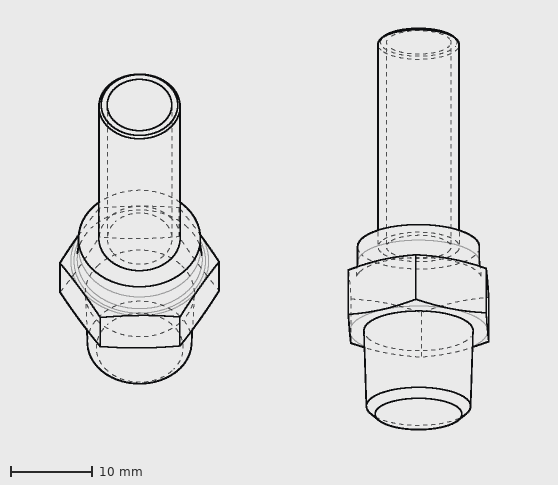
import cadquery as cq
import math

total_height = 49.1

thread_tip_radius = 5.35
thread_small_radius = 6.45
thread_large_radius = 6.75
thread_chamfer_height = 1.05

hex_bottom = 11.0
hex_top = 17.6
across_flats = 17.0
across_corners = across_flats / math.cos(math.radians(30))
hex_chamfer_angle = 15.0

collar_top = 22.1
collar_radius = 7.5
collar_taper_top = 20.1
collar_base_radius = 7.7
collar_fillet = 0.4

tube_radius = 5.0
tube_edge_chamfer = 0.3
bore_radius = 4.0
bore_bottom = collar_top


def revolve_profile(profile):
    """Turn a closed radius-height outline about the Z axis."""
    return profile.close().revolve(360, (0, 0, 0), (0, 1, 0))


def make_hexagon():
    """Hexagon with both ends turned down to a shallow cone at the corners."""
    corner_radius = across_corners / 2
    flat_radius = across_flats / 2
    chamfer_drop = (corner_radius - flat_radius) * math.tan(math.radians(hex_chamfer_angle))
    prism = cq.Workplane("XY").workplane(offset=hex_bottom).polygon(6, across_corners)
    prism = prism.extrude(hex_top - hex_bottom)
    envelope = revolve_profile(
        cq.Workplane("XZ")
        .moveTo(0, hex_bottom)
        .lineTo(flat_radius, hex_bottom)
        .lineTo(corner_radius, hex_bottom + chamfer_drop)
        .lineTo(corner_radius, hex_top - chamfer_drop)
        .lineTo(flat_radius, hex_top)
        .lineTo(0, hex_top)
    )
    return prism.intersect(envelope)


def make_turned_body():
    """Thread end, collar with its concave root fillet, and plain tube."""
    fillet_top = hex_top + collar_fillet
    fillet_outer_radius = collar_base_radius + collar_fillet
    arc_offset = collar_fillet * (1 - math.cos(math.radians(45)))
    return revolve_profile(
        cq.Workplane("XZ")
        .lineTo(thread_tip_radius, 0)
        .lineTo(thread_small_radius, thread_chamfer_height)
        .lineTo(thread_large_radius, hex_bottom)
        .lineTo(fillet_outer_radius, hex_bottom)
        .lineTo(fillet_outer_radius, hex_top)
        .threePointArc(
            (collar_base_radius + arc_offset, hex_top + arc_offset),
            (collar_base_radius, fillet_top),
        )
        .lineTo(collar_radius, collar_taper_top)
        .lineTo(collar_radius, collar_top)
        .lineTo(tube_radius, collar_top)
        .lineTo(tube_radius, total_height - tube_edge_chamfer)
        .lineTo(tube_radius - tube_edge_chamfer, total_height)
        .lineTo(0, total_height)
    )


def make_bore():
    """Blind bore of the tube, ending level with the collar's top face."""
    bore = cq.Workplane("XY").workplane(offset=bore_bottom).circle(bore_radius)
    return bore.extrude(total_height - bore_bottom)


result = make_turned_body().union(make_hexagon()).cut(make_bore())